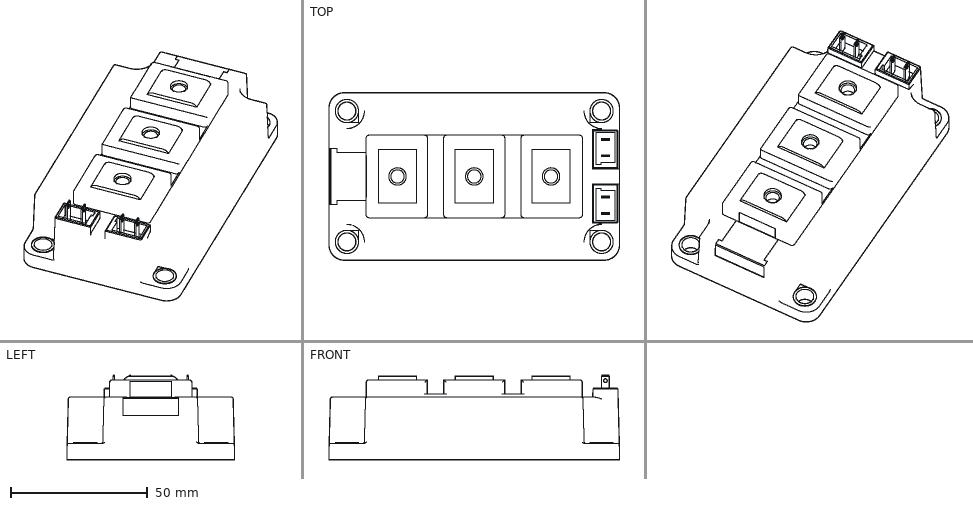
import cadquery as cq
import math

length = 106.4
width = 61.4
plate_height = 3.2
flange_top = 6.0
housing_top = 23.0
corner_radius = 5.6
draft_angle = 1.5
edge_radius = 0.7

hole_x = 46.6
hole_y = 23.9
hole_diameter = 6.5
bush_diameter = 8.5
bush_height = 0.3
bush_corner_height = 0.1
recess_radius = 6.4
recess_base_radius = 0.5
recess_overrun = 10.6
recess_wall_x = hole_x - recess_radius
recess_wall_y = hole_y - recess_radius
recess_mid = recess_radius * math.sqrt(0.5)

block_length = 79.2
block_width = 30.2
block_top = 29.3
block_edge_radius = 1.1
slot_floor = 24.2
slot_width = 6.0
pedestal_pitch = 28.3
panel_width = 15.1
panel_depth = 0.1

pad_pitch = 28.1
pad_length = 14.0
pad_width = 19.6
pad_flat_width = 14.9
pad_top = 30.6
pad_hole_diameter = 6.4
nut_hole_diameter = 4.9
nut_hole_depth = 5.3

connector_inner_x = 42.9
connector_inner_y = 2.3
connector_top = 26.2
connector_chamfer = 0.3
socket_x = 48.0
socket_y = 10.2
socket_length = 7.0
socket_width = 11.7
socket_floor = 21.3
key_length = 5.1
key_thickness = 0.7

pin_top = 31.0
pin_width = 2.9
pin_thickness = 0.6
pin_tip_height = 0.5
pin_tip_angle = 20.0
pin_positions_y = (7.6, 13.5)
pin_hole_diameter = 1.3
pin_hole_z = 28.9

label_width = 20.4
label_bottom = 16.2
label_depth = 0.1
label_strip_width = 17.7
label_face_x = -52.7
label_step_x = -50.2

overtravel = 1.1
pin_root = 1.1
select_reach = 1.1

quadrants = [(sx, sy) for sx in (-1, 1) for sy in (-1, 1)]


def box(size_x, size_y, z_low, z_high, x=0.0, y=0.0):
    """Box centred on (x, y) that spans z_low to z_high."""
    return (
        cq.Workplane("XY", origin=(x, y, z_low))
        .rect(size_x, size_y)
        .extrude(z_high - z_low)
    )


def edge_near(x, y, z_low, z_high):
    """Selector for the edge centred close to (x, y) between two heights."""
    return cq.selectors.BoxSelector(
        (x - select_reach, y - select_reach, z_low), (x + select_reach, y + select_reach, z_high)
    )


def corner_recess(sx, sy):
    """Drafted recess with a wall that curves around a mounting hole."""
    far_x = length / 2 + recess_overrun
    far_y = width / 2 + recess_overrun
    return (
        cq.Workplane("XY", origin=(0, 0, flange_top))
        .moveTo(sx * recess_wall_x, sy * far_y)
        .lineTo(sx * recess_wall_x, sy * hole_y)
        .threePointArc(
            (sx * (hole_x - recess_mid), sy * (hole_y - recess_mid)), (sx * hole_x, sy * recess_wall_y)
        )
        .lineTo(sx * far_x, sy * recess_wall_y)
        .lineTo(sx * far_x, sy * far_y)
        .close()
        .extrude(housing_top - flange_top + overtravel, taper=-draft_angle)
    )


def housing():
    """Plate and drafted housing with the four corner recesses."""
    plate = box(length, width, 0, plate_height).edges("|Z").fillet(corner_radius)
    body = (
        plate.faces(">Z")
        .wires()
        .toPending()
        .workplane()
        .extrude(housing_top - plate_height, taper=draft_angle)
    )
    for sx, sy in quadrants:
        body = body.cut(corner_recess(sx, sy))
    for sx, sy in quadrants:
        for x, y in ((recess_wall_x, width / 2), (length / 2, recess_wall_y)):
            column = edge_near(sx * x, sy * y, flange_top + select_reach, housing_top - select_reach)
            body = body.edges(column).fillet(edge_radius)
    body = body.faces(">Z").edges().fillet(edge_radius)
    for sx, sy in quadrants:
        base_arc = edge_near(
            sx * (hole_x - recess_mid),
            sy * (hole_y - recess_mid),
            flange_top - select_reach,
            flange_top + select_reach,
        )
        body = body.edges(base_arc).fillet(recess_base_radius)
    return body


def bush(sx, sy):
    """Raised rim of a mounting hole with a lower square corner towards the housing."""
    top = flange_top + bush_height
    corner_top = flange_top + bush_corner_height
    radius = bush_diameter / 2
    x = sx * hole_x
    y = sy * hole_y
    ring = cq.Workplane("XY", origin=(x, y, 0)).circle(radius).extrude(top)
    corner = box(radius, radius, 0, corner_top, x - sx * radius / 2, y - sy * radius / 2)
    return ring.union(corner)


def terminal_block():
    """Rounded block cut by two slots into three pedestals, with a shallow panel in the -X face."""
    block = box(block_length, block_width, plate_height, block_top)
    block = block.edges("|Z").fillet(block_edge_radius)
    block = block.faces(">Z").edges().fillet(block_edge_radius)
    end_length = block_length
    end_x = pedestal_pitch / 2 + (slot_width + end_length) / 2
    middle_length = pedestal_pitch - slot_width
    bodies = block.intersect(box(block_length, block_width, plate_height, slot_floor))
    for x, size in ((-end_x, end_length), (0, middle_length), (end_x, end_length)):
        prism = box(size, block_width, plate_height, block_top, x)
        prism = prism.edges("|Z").fillet(block_edge_radius)
        bodies = bodies.union(block.intersect(prism))
    panel = box(2 * panel_depth, panel_width, housing_top, block_top, -block_length / 2)
    return bodies.cut(panel)


def terminal_pad(x):
    """Flat terminal strip whose two ends curve down to the pedestal."""
    run = (pad_width - pad_flat_width) / 2
    drop = pad_top - block_top
    bend_radius = (run**2 + drop**2) / (2 * drop)
    half_bend = math.asin(run / bend_radius) / 2
    flat_y = pad_flat_width / 2
    bend_y = flat_y + bend_radius * math.sin(half_bend)
    bend_z = pad_top - bend_radius * (1 - math.cos(half_bend))
    return (
        cq.Workplane("YZ", origin=(x - pad_length / 2, 0, 0))
        .moveTo(-pad_width / 2, block_top)
        .threePointArc((-bend_y, bend_z), (-flat_y, pad_top))
        .lineTo(flat_y, pad_top)
        .threePointArc((bend_y, bend_z), (pad_width / 2, block_top))
        .close()
        .extrude(pad_length)
    )


def screw_hole(x):
    """Clearance hole through the pad with a narrower nut hole below."""
    top = cq.Workplane("XY", origin=(x, 0, pad_top))
    clearance = top.circle(pad_hole_diameter / 2).extrude(block_top - pad_top)
    nut_hole = top.circle(nut_hole_diameter / 2).extrude(-nut_hole_depth)
    return clearance.union(nut_hole)


def connector_shell(side):
    """Outer block of a pin connector, flush with the drafted housing walls."""
    drafted_height = flange_top - plate_height
    outer_x = length / 2 - drafted_height * math.tan(math.radians(draft_angle))
    outer_y = recess_wall_y
    shell = (
        cq.Workplane("XY", origin=(0, 0, flange_top))
        .center((outer_x + connector_inner_x) / 2, side * (outer_y + connector_inner_y) / 2)
        .rect(outer_x - connector_inner_x, outer_y - connector_inner_y)
        .extrude(connector_top - flange_top, taper=draft_angle)
    )
    column = edge_near(length / 2, side * recess_wall_y, flange_top + select_reach, connector_top - select_reach)
    shell = shell.edges(column).fillet(edge_radius)
    return shell.faces(">Z").edges().chamfer(connector_chamfer)


def connector_socket(side):
    """Open socket with a coding key along its inner wall."""
    y = side * socket_y
    socket = box(socket_length, socket_width, socket_floor, connector_top + overtravel, socket_x, y)
    key_x = socket_x + (socket_length - key_length) / 2
    key_y = y - side * (socket_width - key_thickness) / 2
    key = box(key_length, key_thickness, socket_floor, connector_top, key_x, key_y)
    return socket.cut(key)


def contact_pin(y):
    """Flat contact blade with a tapered tip and a small cross hole."""
    shoulder = pin_top - pin_tip_height
    pin = box(pin_width, pin_thickness, socket_floor - pin_root, shoulder, socket_x, y)
    tip = (
        cq.Workplane("XY", origin=(socket_x, y, shoulder))
        .rect(pin_width, pin_thickness)
        .extrude(pin_tip_height, taper=pin_tip_angle)
    )
    hole = (
        cq.Workplane("XZ", origin=(socket_x, y + pin_thickness, pin_hole_z))
        .circle(pin_hole_diameter / 2)
        .extrude(2 * pin_thickness)
    )
    return pin.union(tip).cut(hole)


def label_cut(x_low, x_high, width_y, z_low):
    """Cutting block for the label area, open above the housing."""
    return box(x_high - x_low, width_y, z_low, housing_top + overtravel, (x_low + x_high) / 2)


def label_recess():
    """Shallow step in the end wall and a strip along the top of the housing."""
    end_x = -length / 2
    end_wall = label_cut(end_x - overtravel, label_face_x, label_width, label_bottom)
    strip_floor = housing_top - label_depth
    wide_strip = label_cut(end_x - overtravel, label_step_x, label_width, strip_floor)
    strip = label_cut(label_step_x, -block_length / 2, label_strip_width, strip_floor)
    return end_wall.union(wide_strip).union(strip)


result = housing().cut(label_recess())
for sx, sy in quadrants:
    result = result.union(bush(sx, sy))

result = result.union(terminal_block())
for index in (-1, 0, 1):
    result = result.union(terminal_pad(index * pad_pitch))
    result = result.cut(screw_hole(index * pad_pitch))

for side in (-1, 1):
    result = result.union(connector_shell(side))
    result = result.cut(connector_socket(side))
    for pin_y in pin_positions_y:
        result = result.union(contact_pin(side * pin_y))

for sx, sy in quadrants:
    hole = cq.Workplane("XY", origin=(sx * hole_x, sy * hole_y, 0)).circle(hole_diameter / 2)
    result = result.cut(hole.extrude(housing_top))